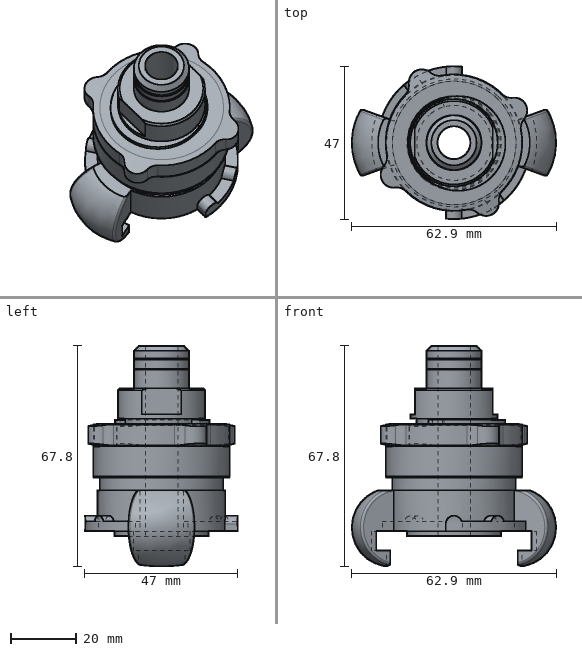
import cadquery as cq
import math

TOTAL_HEIGHT = 67.75
BORE_DIAMETER = 10.0

SPIGOT_RADIUS = 17.0 / 2
SPIGOT_TIP_RADIUS = 13.9 / 2
SPIGOT_CHAMFER_HEIGHT = 1.55
GROOVE_RADIUS = 16.65 / 2
UPPER_GROOVE_BOTTOM = 63.5
UPPER_GROOVE_WIDTH = 0.55
LOWER_GROOVE_BOTTOM = 60.4
LOWER_GROOVE_WIDTH = 0.35

COLLAR_TOP = 54.75
COLLAR_BOTTOM = 45.4
COLLAR_RADIUS = 26.8 / 2
COLLAR_CHAMFER = 0.6
FLAT_SPACING = 24.0
FLAT_BOTTOM = 46.75
NECK_RADIUS = 23.0 / 2

NUT_TOP = 43.9
NUT_BOTTOM = 36.9
NUT_RADIUS = 21.0
NUT_FACE_RADIUS = 38.0 / 2
NUT_CONE_ANGLE = 8.5
NUT_BORE_RADIUS = 27.5 / 2
NUT_BORE_CHAMFER = 0.5
LOBE_COUNT = 4
LOBE_ANGLE = 28.0
LOBE_CENTER_RADIUS = 21.0
LOBE_RADIUS = 4.0
LOBE_BLEND_RADIUS = 4.0

SNAP_RING_TOP = 45.05
SNAP_RING_RADIUS = 14.55
SNAP_RING_OFFSET = 1.3
SNAP_RING_ANGLE = -10.0
SNAP_RING_HALF_OPENING = 64.5
SNAP_RING_END_FILLET = 0.7

SLEEVE_BOTTOM = 27.2
SLEEVE_RADIUS = NUT_RADIUS
SLEEVE_CHAMFER_HEIGHT = 0.4
SLEEVE_CHAMFER_DEPTH = 0.2
WAIST_RADIUS = 38.0 / 2

BODY_TOP = 23.4
BODY_BOTTOM = 10.85
BODY_RADIUS = 19.65
SEAL_RADIUS = 29.0 / 2
SEAL_BOTTOM = 9.35

CLAW_HALF_ANGLE = 20.0
CLAW_REACH = 62.85 / 2
CLAW_PROFILE_RADIUS = 12.05
CLAW_EDGE_FILLET = 0.8
CLAW_AXIS_TOP_X = 13.55
CLAW_AXIS_BOTTOM_X = 10.15
CLAW_ROOT_RADIUS = 17.6
HOOK_INNER_RADIUS = 20.8
HOOK_RECESS_RADIUS = 25.35
HOOK_TOP = 4.95
CLAW_PROFILE_X = CLAW_REACH - CLAW_PROFILE_RADIUS
CLAW_PROFILE_HEIGHT = math.sqrt(CLAW_PROFILE_RADIUS**2 - (HOOK_INNER_RADIUS - CLAW_PROFILE_X) ** 2)

RAMP_RADIUS = 47.0 / 2
RAMP_TOP = 13.8
BUMP_RADIUS = 2.5
BUMP_CENTER_HEIGHT = 13.1
BUMP_SPACING_ANGLE = 35.0

CLEARANCE_RADIUS = 54.2


def polar(radius, angle, center=(0.0, 0.0)):
    """Point at a radius and an angle in degrees from a centre."""
    turn = math.radians(angle)
    return center[0] + radius * math.cos(turn), center[1] + radius * math.sin(turn)


def disc(radius, bottom, top):
    """Upright cylinder on the main axis."""
    return cq.Workplane("XY").workplane(offset=bottom).circle(radius).extrude(top - bottom)


def sector(radius, start_angle, end_angle, bottom, top):
    """Upright pie slice around the main axis."""
    return (
        cq.Workplane("XY").workplane(offset=bottom)
        .lineTo(*polar(radius, start_angle))
        .threePointArc(polar(radius, (start_angle + end_angle) / 2), polar(radius, end_angle))
        .close()
        .extrude(top - bottom)
    )


def make_spigot():
    spigot = (
        cq.Workplane("XZ")
        .moveTo(0, COLLAR_BOTTOM)
        .lineTo(SPIGOT_RADIUS, COLLAR_BOTTOM)
        .lineTo(SPIGOT_RADIUS, TOTAL_HEIGHT - SPIGOT_CHAMFER_HEIGHT)
        .lineTo(SPIGOT_TIP_RADIUS, TOTAL_HEIGHT)
        .lineTo(0, TOTAL_HEIGHT)
        .close()
        .revolve(360, (0, 0), (0, 1))
    )
    grooves = (
        (UPPER_GROOVE_BOTTOM, UPPER_GROOVE_WIDTH),
        (LOWER_GROOVE_BOTTOM, LOWER_GROOVE_WIDTH),
    )
    for bottom, width in grooves:
        groove = disc(CLEARANCE_RADIUS, bottom, bottom + width)
        spigot = spigot.cut(groove.cut(disc(GROOVE_RADIUS, bottom, bottom + width)))
    return spigot


def make_collar():
    collar = disc(COLLAR_RADIUS, COLLAR_BOTTOM, COLLAR_TOP).faces(">Z").chamfer(COLLAR_CHAMFER)
    between_flats = (
        cq.Workplane("XY").workplane(offset=FLAT_BOTTOM)
        .rect(FLAT_SPACING, 2 * COLLAR_RADIUS)
        .extrude(COLLAR_TOP - FLAT_BOTTOM)
    )
    below_flats = disc(COLLAR_RADIUS, COLLAR_BOTTOM, FLAT_BOTTOM)
    return collar.intersect(between_flats.union(below_flats))


def make_lobe():
    """One lobe along +X, running into the nut rim through a concave arc on each side."""
    blend_center_radius = NUT_RADIUS + LOBE_BLEND_RADIUS
    center_gap = LOBE_RADIUS + LOBE_BLEND_RADIUS
    rim_angle = math.degrees(math.acos(
        (blend_center_radius**2 + LOBE_CENTER_RADIUS**2 - center_gap**2)
        / (2 * blend_center_radius * LOBE_CENTER_RADIUS)
    ))
    blend_center = polar(blend_center_radius, rim_angle)
    rim_point = polar(NUT_RADIUS, rim_angle)
    along = (blend_center[0] - LOBE_CENTER_RADIUS) / center_gap
    across = blend_center[1] / center_gap
    lobe_point = (LOBE_CENTER_RADIUS + LOBE_RADIUS * along, LOBE_RADIUS * across)

    toward_rim = 180 + rim_angle
    toward_lobe = 360 - math.degrees(math.acos(-along))
    blend_middle = polar(LOBE_BLEND_RADIUS, (toward_rim + toward_lobe) / 2, blend_center)

    return (
        cq.Workplane("XY").workplane(offset=NUT_BOTTOM)
        .lineTo(rim_point[0], -rim_point[1])
        .threePointArc((blend_middle[0], -blend_middle[1]), (lobe_point[0], -lobe_point[1]))
        .threePointArc((LOBE_CENTER_RADIUS + LOBE_RADIUS, 0), lobe_point)
        .threePointArc(blend_middle, rim_point)
        .close()
        .extrude(NUT_TOP - NUT_BOTTOM)
    )


def make_nut():
    nut = disc(NUT_RADIUS, NUT_BOTTOM, NUT_TOP)
    lobe = make_lobe()
    for index in range(LOBE_COUNT):
        angle = LOBE_ANGLE + index * 360 / LOBE_COUNT
        nut = nut.union(lobe.rotate((0, 0, 0), (0, 0, 1), angle))

    middle = (NUT_TOP + NUT_BOTTOM) / 2
    cone_run = (NUT_TOP - middle) / math.tan(math.radians(NUT_CONE_ANGLE))
    double_cone = (
        cq.Workplane("XZ")
        .moveTo(0, NUT_BOTTOM)
        .lineTo(NUT_FACE_RADIUS, NUT_BOTTOM)
        .lineTo(NUT_FACE_RADIUS + cone_run, middle)
        .lineTo(NUT_FACE_RADIUS, NUT_TOP)
        .lineTo(0, NUT_TOP)
        .close()
        .revolve(360, (0, 0), (0, 1))
    )
    bore_groove = (
        cq.Workplane("XZ")
        .moveTo(NUT_BORE_RADIUS, NUT_TOP)
        .lineTo(NUT_BORE_RADIUS, NUT_TOP - NUT_BORE_CHAMFER)
        .lineTo(NUT_BORE_RADIUS + NUT_BORE_CHAMFER, NUT_TOP)
        .close()
        .revolve(360, (0, 0), (0, 1))
    )
    return nut.intersect(double_cone).cut(bore_groove)


def make_snap_ring():
    center = polar(SNAP_RING_OFFSET, SNAP_RING_ANGLE)
    ring = disc(SNAP_RING_RADIUS, NUT_TOP, SNAP_RING_TOP).translate((*center, 0))
    opening_middle = SNAP_RING_ANGLE + 180
    opening = sector(
        CLEARANCE_RADIUS,
        opening_middle - SNAP_RING_HALF_OPENING,
        opening_middle + SNAP_RING_HALF_OPENING,
        NUT_TOP,
        SNAP_RING_TOP,
    )
    ring = ring.cut(opening)
    return ring.edges("|Z").edges("<X or <Y or >Y").fillet(SNAP_RING_END_FILLET)


def make_sleeve():
    return (
        cq.Workplane("XZ")
        .moveTo(0, SLEEVE_BOTTOM)
        .lineTo(SLEEVE_RADIUS - SLEEVE_CHAMFER_DEPTH, SLEEVE_BOTTOM)
        .lineTo(SLEEVE_RADIUS, SLEEVE_BOTTOM + SLEEVE_CHAMFER_HEIGHT)
        .lineTo(SLEEVE_RADIUS, NUT_BOTTOM)
        .lineTo(0, NUT_BOTTOM)
        .close()
        .revolve(360, (0, 0), (0, 1))
    )


def make_claw():
    """Claw on the +X side: a crowned wedge hollowed into a hook."""
    profile_top = CLAW_PROFILE_HEIGHT + CLAW_PROFILE_RADIUS
    profile_bottom = CLAW_PROFILE_HEIGHT - CLAW_PROFILE_RADIUS
    crowned = (
        cq.Workplane("XZ")
        .moveTo(CLAW_AXIS_BOTTOM_X, profile_bottom)
        .lineTo(CLAW_PROFILE_X, profile_bottom)
        .threePointArc((CLAW_REACH, CLAW_PROFILE_HEIGHT), (CLAW_PROFILE_X, profile_top))
        .lineTo(CLAW_AXIS_TOP_X, profile_top)
        .close()
        .revolve(360, (CLAW_AXIS_BOTTOM_X, profile_bottom), (CLAW_AXIS_TOP_X, profile_top))
        .rotate((CLAW_AXIS_BOTTOM_X, 0, profile_bottom), (CLAW_AXIS_TOP_X, 0, profile_top), 180)
    )
    wedge = sector(
        CLEARANCE_RADIUS, -CLAW_HALF_ANGLE, CLAW_HALF_ANGLE, -CLEARANCE_RADIUS, CLEARANCE_RADIUS
    )
    core = disc(CLAW_ROOT_RADIUS, BODY_BOTTOM, CLEARANCE_RADIUS)
    core = core.union(disc(HOOK_INNER_RADIUS, -CLEARANCE_RADIUS, BODY_BOTTOM))
    claw = crowned.intersect(wedge).cut(core)
    claw = claw.edges("<Y or >Y").fillet(CLAW_EDGE_FILLET)
    claw = claw.cut(disc(CLEARANCE_RADIUS, BODY_TOP, CLEARANCE_RADIUS))
    return claw.cut(disc(HOOK_RECESS_RADIUS, HOOK_TOP, BODY_BOTTOM))


def make_ramp():
    """Rim sector on the -Y side with two radial bumps, ending inside the +X claw."""
    rim = sector(CLEARANCE_RADIUS, -90, -CLAW_HALF_ANGLE, BODY_BOTTOM, RAMP_TOP)
    start_wall = (
        cq.Workplane("XZ")
        .moveTo(-BUMP_RADIUS, BODY_BOTTOM)
        .lineTo(0, BODY_BOTTOM)
        .lineTo(0, BUMP_CENTER_HEIGHT)
        .lineTo(-BUMP_RADIUS, BUMP_CENTER_HEIGHT)
        .close()
        .extrude(CLEARANCE_RADIUS)
    )
    bump = (
        cq.Workplane("XZ")
        .center(0, BUMP_CENTER_HEIGHT)
        .circle(BUMP_RADIUS)
        .extrude(CLEARANCE_RADIUS)
    )
    second_bump = bump.rotate((0, 0, 0), (0, 0, 1), BUMP_SPACING_ANGLE)
    envelope = disc(RAMP_RADIUS, BODY_BOTTOM, BODY_TOP)
    return rim.union(start_wall).union(bump).union(second_bump).intersect(envelope).clean()


result = (
    disc(SEAL_RADIUS, SEAL_BOTTOM, BODY_BOTTOM)
    .union(disc(BODY_RADIUS, BODY_BOTTOM, BODY_TOP))
    .union(disc(WAIST_RADIUS, BODY_TOP, SLEEVE_BOTTOM))
    .union(make_sleeve())
    .union(make_nut())
    .union(disc(NECK_RADIUS, NUT_BOTTOM, COLLAR_BOTTOM))
    .union(make_snap_ring())
    .union(make_collar())
    .union(make_spigot())
)

claw = make_claw()
ramp = make_ramp()
for turn in (0, 180):
    result = result.union(claw.rotate((0, 0, 0), (0, 0, 1), turn))
    result = result.union(ramp.rotate((0, 0, 0), (0, 0, 1), turn))

result = result.cut(disc(BORE_DIAMETER / 2, 0, TOTAL_HEIGHT))